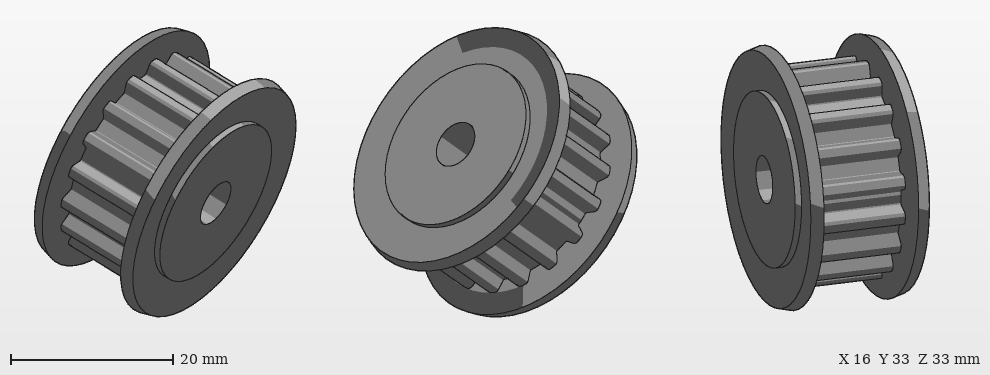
import cadquery as cq
import math


tooth_count = 18
tip_radius = 13.83
root_radius = 12.1
belt_width = 11.02
groove_half_angle = 25.0
groove_root_half_width = 0.9
tip_fillet = 0.6
root_fillet = 0.23

rim_radius = 16.5
bend_radius = 13.9
dish_angle = 15.0
flange_thickness = 1.65

overall_width = 16.0
hub_diameter = 22.0
bore_diameter = 6.0


def groove_cutter():
    """One tapered belt groove on the +Y side, with a floor curved about the pulley axis."""
    floor_corner = math.sqrt(root_radius**2 - groove_root_half_width**2)
    mouth = rim_radius
    taper = math.tan(math.radians(groove_half_angle))
    mouth_half_width = groove_root_half_width + (mouth - floor_corner) * taper
    return (
        cq.Workplane("YZ")
        .moveTo(mouth, -mouth_half_width)
        .lineTo(floor_corner, -groove_root_half_width)
        .threePointArc((root_radius, 0), (floor_corner, groove_root_half_width))
        .lineTo(mouth, mouth_half_width)
        .close()
        .extrude(belt_width / 2, both=True)
    )


def edges_along_axis(body, inner_radius, outer_radius):
    """Edges parallel to X that lie between the two radii."""

    def distance_from_axis(edge):
        center = edge.Center()
        return math.hypot(center.y, center.z)

    edges = body.edges("|X").vals()
    return [edge for edge in edges if inner_radius < distance_from_axis(edge) < outer_radius]


def toothed_ring():
    ring = cq.Workplane("YZ").circle(tip_radius).extrude(belt_width / 2, both=True)
    groove = groove_cutter()
    for index in range(tooth_count):
        ring = ring.cut(groove.rotate((0, 0, 0), (1, 0, 0), index * 360 / tooth_count))

    middle_radius = (root_radius + tip_radius) / 2
    tip_edges = edges_along_axis(ring, middle_radius, rim_radius)
    ring = ring.newObject(tip_edges).fillet(tip_fillet)
    root_edges = edges_along_axis(ring, 0, root_radius + root_fillet / 2)
    return ring.newObject(root_edges).fillet(root_fillet)


def flange():
    """Sheet flange on the +X side, of even thickness with a square-cut rim."""
    dish = math.radians(dish_angle)
    inner_face = belt_width / 2
    outer_face = inner_face + flange_thickness
    outer_bend_radius = bend_radius - flange_thickness * math.tan(dish / 2)
    rim_inner = inner_face + (rim_radius - bend_radius) * math.tan(dish)
    rim_outer = rim_inner + flange_thickness * math.cos(dish)
    rim_outer_radius = rim_radius - flange_thickness * math.sin(dish)
    return (
        cq.Workplane("XY")
        .moveTo(inner_face, 0)
        .lineTo(inner_face, bend_radius)
        .lineTo(rim_inner, rim_radius)
        .lineTo(rim_outer, rim_outer_radius)
        .lineTo(outer_face, outer_bend_radius)
        .lineTo(outer_face, 0)
        .close()
        .revolve(360, (0, 0, 0), (1, 0, 0))
    )


right_flange = flange()
left_flange = right_flange.mirror("YZ")
hub = cq.Workplane("YZ").circle(hub_diameter / 2).extrude(overall_width / 2, both=True)
bore = cq.Workplane("YZ").circle(bore_diameter / 2).extrude(overall_width, both=True)

result = toothed_ring().union(right_flange).union(left_flange).union(hub).cut(bore)